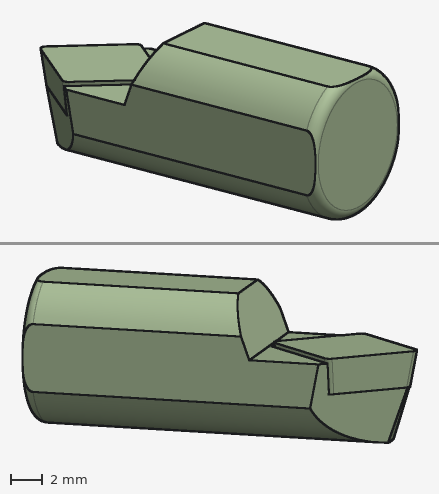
import cadquery as cq
import math

length = 24.78
shank_radius = 5.0
side_flat = 9.0 / 2
top_flat = 9.5 - shank_radius
end_fillet = 0.75

insert_top = 1.0
insert_thickness = 2.38
inscribed_diameter = 6.35
half_tip_angle = math.radians(40)
relief_angle = math.radians(7)
corner_radius = 0.4
insert_bottom = insert_top - insert_thickness
half_long = inscribed_diameter / 2 / math.sin(half_tip_angle)
half_short = inscribed_diameter / 2 / math.cos(half_tip_angle)
relief_slope = math.tan(relief_angle)
edge_lean = math.atan(relief_slope / math.sin(half_tip_angle))
flank_half_angle = math.asin(math.sin(half_tip_angle) * math.cos(relief_angle) / math.cos(edge_lean))
tip_loss = corner_radius * (1 / math.sin(flank_half_angle) - 1) / math.cos(edge_lean)
insert_center = half_long - tip_loss

ledge_height = 0.7
ledge_end = 9.76
shoulder_angle = math.radians(20)
nose_start = 0.55
nose_end = 1.73


def rhombus_points(z):
    """Corners of the sharp rhombus at height z, front corner first."""
    shrink = (insert_top - z) * relief_slope
    long_half = half_long - shrink / math.sin(half_tip_angle)
    short_half = half_short - shrink / math.cos(half_tip_angle)
    return [
        (insert_center - long_half, 0),
        (insert_center, -short_half),
        (insert_center + long_half, 0),
        (insert_center, short_half),
    ]


def loft_outlines(lower, lower_z, upper, upper_z):
    """Straight-sided solid between two polygons at different heights."""
    return (
        cq.Workplane("XY", origin=(0, 0, lower_z))
        .polyline(lower).close()
        .workplane(offset=upper_z - lower_z)
        .polyline(upper).close()
        .loft(ruled=True, combine=True)
    )


def sharp_insert():
    """The insert before its corners are rounded; also the shape of its pocket."""
    return loft_outlines(
        rhombus_points(insert_bottom), insert_bottom, rhombus_points(insert_top), insert_top
    )


def make_insert():
    corner_edges = "not(#Z)"
    return sharp_insert().edges(corner_edges).fillet(corner_radius)


def make_shank():
    """Round bar with a rounded back end, two side flats and a top flat."""
    bar = cq.Workplane("YZ").circle(shank_radius).extrude(length)
    bar = bar.faces(">X").edges().fillet(end_fillet)
    flats = cq.Workplane("XY").box(
        length, 2 * side_flat, shank_radius + top_flat, centered=(False, True, False)
    )
    return bar.intersect(flats.translate((0, 0, -shank_radius)))


def wedge_outline(z):
    """Outline of the pointed head and shank, its flanks in line with the insert's."""
    tip_x = rhombus_points(z)[0][0]
    flank_end = tip_x + shank_radius / math.tan(half_tip_angle)
    return [
        (tip_x, 0),
        (flank_end, -shank_radius),
        (length, -shank_radius),
        (length, shank_radius),
        (flank_end, shank_radius),
    ]


def side_profile():
    """Side outline with the nose face, ledge and sloping shoulder."""
    nose_slope = (nose_end - nose_start) / (insert_bottom + shank_radius)
    nose_top = nose_end - nose_slope * (ledge_height + shank_radius)
    shoulder_top = ledge_end + (top_flat - ledge_height) * math.tan(shoulder_angle)
    return (
        cq.Workplane("XZ")
        .polyline([
            (nose_end, -shank_radius),
            (length, -shank_radius),
            (length, top_flat),
            (shoulder_top, top_flat),
            (ledge_end, ledge_height),
            (nose_top, ledge_height),
        ])
        .close()
        .extrude(shank_radius, both=True)
    )


def make_holder():
    wedge = loft_outlines(
        wedge_outline(-shank_radius), -shank_radius, wedge_outline(top_flat), top_flat
    )
    head = make_shank().intersect(side_profile()).intersect(wedge)
    pocket = sharp_insert()
    front_clearance = cq.Workplane("XY").box(
        insert_center, 2 * shank_radius, insert_thickness, centered=(False, True, False)
    ).translate((0, 0, insert_bottom))
    return head.cut(pocket).cut(front_clearance)


holder = make_holder()
insert = make_insert()

result = cq.Compound.makeCompound([holder.solids().val(), insert.solids().val()])